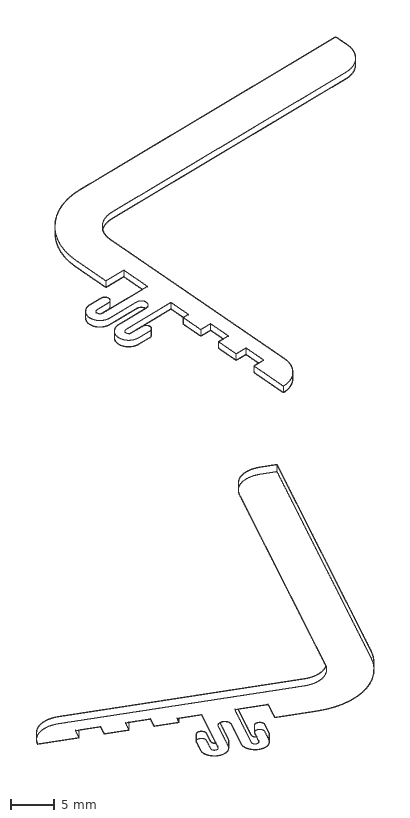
import cadquery as cq

length_x = 42.0
length_y = 55.45
thickness = 1.0

arm_width = 5.5
inner_radius = 3.5
outer_radius = inner_radius + arm_width
tip_radius = 3.5
arm_top = 11.4
arm_bottom = arm_top - arm_width

thin_start = 14.1
thin_bottom = arm_top - 2.65
tooth_bottom = arm_top - tip_radius
slot_ceiling = arm_top - 1.95
tooth_pitch = 3.0
tooth_count = 2
end_tooth_length = 5.0
teeth_start = length_x - end_tooth_length - 2 * tooth_count * tooth_pitch

hook_center = 20.1
leg_width = 1.2
leg_gap = 1.55
leg_gap_top = 6.7
hook_gap = 0.9
hook_tip = 4.05
hook_inner_radius = hook_gap / 2
hook_radius = hook_inner_radius + leg_width
stem_width = leg_gap + 2 * leg_width


def box(x_min, x_max, y_min, y_max):
    """Plate-thick block between the given limits."""
    return cq.Workplane("XY").box(
        x_max - x_min, y_max - y_min, thickness, centered=False
    ).translate((x_min, y_min, 0))


def disc(x, y, radius):
    """Plate-thick round disc."""
    return cq.Workplane("XY").center(x, y).circle(radius).extrude(thickness)


def make_arms():
    """L-shaped plate with a rounded elbow and one rounded corner at each tip."""
    vertical = box(0, arm_width, arm_bottom, length_y)
    vertical = vertical.edges("|Z and >X and >Y").fillet(tip_radius)
    horizontal = box(0, length_x, arm_bottom, arm_top)
    horizontal = horizontal.edges("|Z and >X and >Y").fillet(tip_radius)
    arms = vertical.union(horizontal)
    arms = arms.edges("|Z and <X and <Y").fillet(outer_radius)
    inner_corner = cq.selectors.NearestToPointSelector((arm_width, arm_top, thickness / 2))
    return arms.edges("|Z").edges(inner_corner).fillet(inner_radius)


def cut_underside(arms):
    """Thin the horizontal arm from below, leaving teeth and a longer end tooth."""
    arms = arms.cut(box(thin_start, teeth_start, arm_bottom, thin_bottom))
    arms = arms.cut(box(teeth_start, length_x, arm_bottom, tooth_bottom))
    for index in range(tooth_count):
        slot_start = teeth_start + (2 * index + 1) * tooth_pitch
        arms = arms.cut(box(slot_start, slot_start + tooth_pitch, arm_bottom, slot_ceiling))
    return arms


def make_hook():
    """Left J-shaped hook: straight leg, half-round bend and round-ended finger."""
    leg_right = hook_center - leg_gap / 2
    bend_x = leg_right - hook_radius
    finger_left = bend_x - hook_radius
    finger_right = finger_left + leg_width
    finger_end_y = hook_tip - leg_width / 2

    bend = disc(bend_x, hook_radius, hook_radius)
    bend = bend.cut(disc(bend_x, hook_radius, hook_inner_radius))
    bend = bend.intersect(box(finger_left, leg_right, 0, hook_radius))
    leg = box(leg_right - leg_width, leg_right, hook_radius, thin_bottom)
    finger = box(finger_left, finger_right, hook_radius, finger_end_y)
    finger_end = disc((finger_left + finger_right) / 2, finger_end_y, leg_width / 2)
    return bend.union(leg).union(finger).union(finger_end)


def make_double_hook():
    """Two mirrored hooks joined by a stem with a round-topped gap."""
    left = make_hook()
    right = left.mirror("YZ", (hook_center, 0, 0))
    gap_center_y = leg_gap_top - leg_gap / 2
    stem = box(hook_center - stem_width / 2, hook_center + stem_width / 2, gap_center_y, thin_bottom)
    stem = stem.cut(disc(hook_center, gap_center_y, leg_gap / 2))
    return left.union(right).union(stem)


result = cut_underside(make_arms()).union(make_double_hook()).clean()